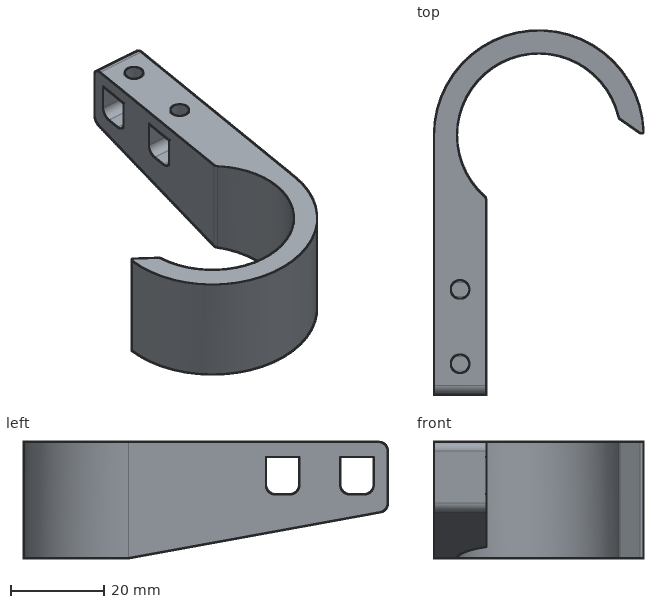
import cadquery as cq
import math

height = 25.0
outer_radius = 22.5
wall = 5.0
inner_radius = outer_radius - wall
mouth_start_angle = 12.0
lip_face_slope = 35.0
lip_tip_round = 0.5
lip_inner_round = 1.0

total_length = 78.2
arm_width = outer_radius / 2
arm_end_height = 14.85
arm_end_round = 2.0
throat_round = 1.0
arm_left = -outer_radius
arm_right = arm_left + arm_width
arm_middle = arm_left + arm_width / 2
arm_end = outer_radius - total_length

window_length = 7.1
window_height = 8.0
window_round = 2.0
window_roof = 3.3
window_pitch = 15.95
first_window = 6.65
window_count = 2
screw_diameter = 4.0


def polar(radius, degrees):
    angle = math.radians(degrees)
    return radius * math.cos(angle), radius * math.sin(angle)


def hook_body():
    """Ring and arm extruded from one plan outline."""
    lip_inner = polar(inner_radius, mouth_start_angle)
    direction = polar(1, -lip_face_slope)
    along = lip_inner[0] * direction[0] + lip_inner[1] * direction[1]
    reach = -along + math.sqrt(along**2 + outer_radius**2 - inner_radius**2)
    lip_outer = (lip_inner[0] + reach * direction[0], lip_inner[1] + reach * direction[1])
    throat = (arm_right, -math.sqrt(inner_radius**2 - arm_right**2))

    body = (
        cq.Workplane("XY")
        .moveTo(arm_left, arm_end)
        .lineTo(arm_left, 0)
        .threePointArc((0, outer_radius), lip_outer)
        .lineTo(*lip_inner)
        .threePointArc((-inner_radius, 0), throat)
        .lineTo(arm_right, arm_end)
        .close()
        .extrude(height)
    )

    def upright_edge(point):
        return cq.selectors.NearestToPointSelector((*point, height / 2))

    body = body.edges(upright_edge(lip_outer)).fillet(lip_tip_round)
    body = body.edges(upright_edge(lip_inner)).fillet(lip_inner_round)
    return body.edges(upright_edge(throat)).fillet(throat_round)


def taper_arm(body):
    """Slope the underside up towards the arm end and round the end edges."""
    taper = (
        cq.Workplane("YZ", origin=(arm_left, 0, 0))
        .polyline([(0, 0), (arm_end, 0), (arm_end, height - arm_end_height)])
        .close()
        .extrude(2 * outer_radius)
    )
    return body.cut(taper).faces("<Y").edges("|X").fillet(arm_end_round)


def window_cutter(y):
    """Cross window with rounded floor, plus the screw hole above it."""
    window_top = height - window_roof
    window = (
        cq.Workplane("XY")
        .box(arm_width, window_length, window_height)
        .edges("|X and <Z")
        .fillet(window_round)
        .translate((arm_middle, y, window_top - window_height / 2))
    )
    screw_hole = (
        cq.Workplane("XY", origin=(arm_middle, y, window_top))
        .circle(screw_diameter / 2)
        .extrude(window_roof)
    )
    return window.union(screw_hole)


result = taper_arm(hook_body())
for index in range(window_count):
    result = result.cut(window_cutter(arm_end + first_window + index * window_pitch))